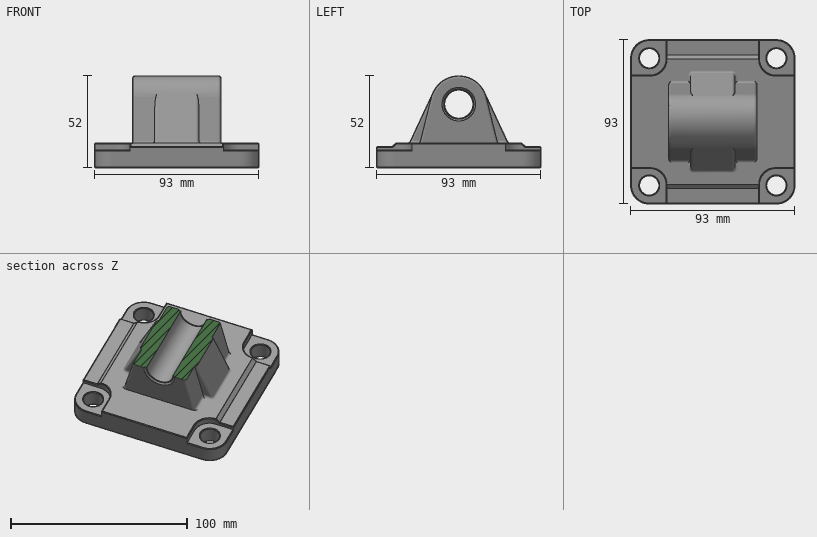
import cadquery as cq
import math

PLATE_SIZE = 93.0
PLATE_HEIGHT = 13.95
SEAT_EDGE = 26.4
SEAT_HEIGHT = 9.95
SEAT_RADIUS = 9.0
STRIP_HEIGHT = 12.0
STRIP_CREST_Y = SEAT_EDGE + SEAT_RADIUS
STRIP_FOOT_Y = 37.8
PLATE_CORNER_RADIUS = 10.5
HOLE_DIAMETER = 11.0
HOLE_OFFSET = PLATE_SIZE / 2 - PLATE_CORNER_RADIUS
EDGE_CHAMFER = 0.5

TOTAL_HEIGHT = 52.0
EYE_RADIUS = 16.0
EYE_HEIGHT = TOTAL_HEIGHT - EYE_RADIUS
EYE_LENGTH = 50.0
WALL_LEAN = math.radians(14)
EDGE_ROUND = 1.5
BORE_DIAMETER = 16.0
MOUTH_DIAMETER = 19.0
MOUTH_FLOOR_DIAMETER = 17.0
MOUTH_DEPTH = (MOUTH_DIAMETER - MOUTH_FLOOR_DIAMETER) / 2

RIB_LEAN = math.radians(25)
RIB_WIDTH = 25.0

OVERLAP = 4.65
TOLERANCE = 0.01


def near(a, b):
    return abs(a - b) < TOLERANCE


def wall_half_width(lean, z):
    """Half width at height z of an arch whose walls are tangent to the eye."""
    return (EYE_RADIUS - (z - EYE_HEIGHT) * math.sin(lean)) / math.cos(lean)


def arch(lean, length, foot_fillet=0.0):
    """Arch along X, sunk into the plate, with concave fillets along its feet if asked for."""
    tangent_y = EYE_RADIUS * math.cos(lean)
    tangent_z = EYE_HEIGHT + EYE_RADIUS * math.sin(lean)
    bottom_z = PLATE_HEIGHT - OVERLAP
    outline = cq.Workplane("YZ").moveTo(-tangent_y, tangent_z)
    outline = outline.threePointArc((0, TOTAL_HEIGHT), (tangent_y, tangent_z))
    if foot_fillet:
        wall_foot_y = wall_half_width(lean, PLATE_HEIGHT)
        reach = foot_fillet * math.tan((math.pi / 2 - lean) / 2)
        start_y = wall_foot_y - reach * math.sin(lean)
        start_z = PLATE_HEIGHT + reach * math.cos(lean)
        toe_y = wall_foot_y + reach
        middle_angle = (math.pi / 2 + lean) / 2
        middle_y = toe_y - foot_fillet * math.cos(middle_angle)
        middle_z = PLATE_HEIGHT + foot_fillet * (1 - math.sin(middle_angle))
        outline = (
            outline.lineTo(start_y, start_z)
            .threePointArc((middle_y, middle_z), (toe_y, PLATE_HEIGHT))
            .lineTo(toe_y, bottom_z)
            .lineTo(-toe_y, bottom_z)
            .lineTo(-toe_y, PLATE_HEIGHT)
            .threePointArc((-middle_y, middle_z), (-start_y, start_z))
        )
    else:
        bottom_y = wall_half_width(lean, bottom_z)
        outline = outline.lineTo(bottom_y, bottom_z).lineTo(-bottom_y, bottom_z)
    return outline.close().extrude(length / 2, both=True)


def round_ends(body):
    """Round the edges of both end faces that rise above the plate."""
    edges = [e for e in body.faces("<X or >X").edges().vals() if e.Center().z > PLATE_HEIGHT + TOLERANCE]
    return body.newObject(edges).fillet(EDGE_ROUND)


def plate_block():
    """Square plate with rounded corners, two lowered strips and four screw seats."""
    half = PLATE_SIZE / 2
    body = cq.Workplane("XY").rect(PLATE_SIZE, PLATE_SIZE).extrude(PLATE_HEIGHT)
    body = body.edges("|Z").fillet(PLATE_CORNER_RADIUS)

    strip = (
        cq.Workplane("YZ")
        .moveTo(STRIP_CREST_Y, PLATE_HEIGHT)
        .lineTo(STRIP_FOOT_Y, STRIP_HEIGHT)
        .lineTo(half, STRIP_HEIGHT)
        .lineTo(half, PLATE_HEIGHT)
        .close()
        .extrude(half, both=True)
    )
    body = body.cut(strip).cut(strip.mirror("XZ"))

    seat = (
        cq.Workplane("XY", origin=(SEAT_EDGE, SEAT_EDGE, SEAT_HEIGHT))
        .rect(half - SEAT_EDGE, half - SEAT_EDGE, centered=False)
        .extrude(PLATE_HEIGHT - SEAT_HEIGHT)
        .edges("|Z and <X and <Y")
        .fillet(SEAT_RADIUS)
    )
    for quarter in range(4):
        body = body.cut(seat.rotate((0, 0, 0), (0, 0, 1), 90 * quarter))
    return body


def is_chamfered(edge):
    """True for the outline of the underside and for the outer edges of the stepped top."""
    box = edge.BoundingBox()
    middle = edge.Center()
    outermost = max(abs(middle.x), abs(middle.y))
    if near(box.zmax, 0):
        return True
    if near(box.xmin, box.xmax) and near(box.ymin, box.ymax):
        return False
    if near(box.zmax, SEAT_HEIGHT):
        return outermost > HOLE_OFFSET + TOLERANCE and not (
            near(abs(middle.x), SEAT_EDGE) or near(abs(middle.y), SEAT_EDGE)
        )
    is_slope_end = near(middle.x, 0) and outermost < PLATE_SIZE / 2 - TOLERANCE
    return not is_slope_end


def mounting_plate():
    body = plate_block()
    return body.newObject([e for e in body.edges().vals() if is_chamfered(e)]).chamfer(EDGE_CHAMFER)


def is_rib_foot(edge):
    """True for the edges where the rib meets the top of the plate."""
    middle = edge.Center()
    within_foot = abs(middle.y) < wall_half_width(RIB_LEAN, PLATE_HEIGHT) + TOLERANCE
    return near(middle.z, PLATE_HEIGHT) and within_foot and abs(middle.x) < RIB_WIDTH / 2 + TOLERANCE


def screw_hole():
    """Countersunk hole at the plate centre, ready to be moved to a corner."""
    radius = HOLE_DIAMETER / 2
    return (
        cq.Workplane("XZ")
        .lineTo(radius, 0)
        .lineTo(radius, SEAT_HEIGHT - EDGE_CHAMFER)
        .lineTo(radius + EDGE_CHAMFER, SEAT_HEIGHT)
        .lineTo(radius + EDGE_CHAMFER, PLATE_HEIGHT)
        .lineTo(0, PLATE_HEIGHT)
        .close()
        .revolve(360, (0, 0, 0), (0, 1, 0))
    )


def bore_cutter():
    """Through bore with a chamfered recess at each end, revolved about the eye axis."""
    end = EYE_LENGTH / 2
    floor = end - MOUTH_DEPTH
    return (
        cq.Workplane("XZ", origin=(0, 0, EYE_HEIGHT))
        .moveTo(-end, 0)
        .lineTo(-end, MOUTH_DIAMETER / 2)
        .lineTo(-floor, MOUTH_FLOOR_DIAMETER / 2)
        .lineTo(-floor, BORE_DIAMETER / 2)
        .lineTo(floor, BORE_DIAMETER / 2)
        .lineTo(floor, MOUTH_FLOOR_DIAMETER / 2)
        .lineTo(end, MOUTH_DIAMETER / 2)
        .lineTo(end, 0)
        .close()
        .revolve(360, (0, 0, 0), (1, 0, 0))
    )


result = mounting_plate().union(round_ends(arch(RIB_LEAN, RIB_WIDTH)))
result = result.newObject([e for e in result.edges().vals() if is_rib_foot(e)]).fillet(EDGE_ROUND)

result = result.union(round_ends(arch(WALL_LEAN, EYE_LENGTH, EDGE_ROUND)))
result = result.cut(bore_cutter())

for x in (-HOLE_OFFSET, HOLE_OFFSET):
    for y in (-HOLE_OFFSET, HOLE_OFFSET):
        result = result.cut(screw_hole().translate((x, y, 0)))